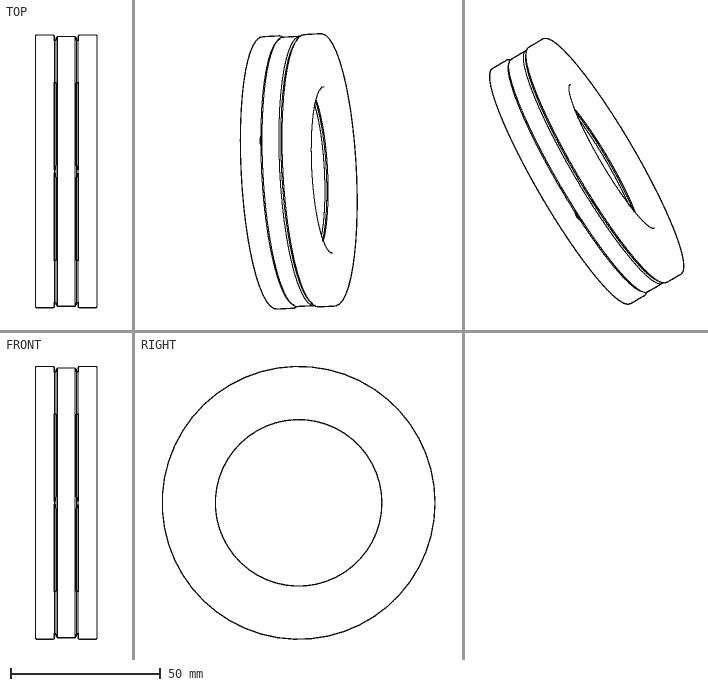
import cadquery as cq

total_width = 20.6
outer_diameter = 91.3
bore_diameter = 55.6
washer_edge = 0.5

roller_diameter = 7.9
roller_length = 14.4
roller_edge = 0.5
roller_count = 4

cage_width = 6.85
cage_outer_diameter = 90.3
cage_bore_diameter = 56.6
cage_edge = 0.55

washer_width = (total_width - roller_diameter) / 2
washer_offset = (roller_diameter + washer_width) / 2
pitch_radius = (outer_diameter + bore_diameter) / 4


def make_ring(outer, bore, width, center_x):
    """Plain ring around the X axis, centred on center_x."""
    return (
        cq.Workplane("YZ", origin=(center_x - width / 2, 0, 0))
        .circle(outer / 2)
        .circle(bore / 2)
        .extrude(width)
    )


def make_washer(side):
    """Washer with rounded edges; side is -1 or 1 along X."""
    washer = make_ring(outer_diameter, bore_diameter, washer_width, side * washer_offset)
    return washer.edges("%CIRCLE").fillet(washer_edge)


def make_roller(angle):
    """Roller with rounded ends, its axis radial, turned about X from the +Z direction."""
    return (
        cq.Workplane("XY", origin=(0, 0, pitch_radius - roller_length / 2))
        .circle(roller_diameter / 2)
        .extrude(roller_length)
        .faces("<Z or >Z")
        .edges()
        .fillet(roller_edge)
        .rotate((0, 0, 0), (1, 0, 0), angle)
    )


def make_cage(rollers):
    """Cage ring with chamfered edges and a matching pocket for each roller."""
    cage = make_ring(cage_outer_diameter, cage_bore_diameter, cage_width, 0)
    cage = cage.edges("%CIRCLE").chamfer(cage_edge)
    for roller in rollers:
        cage = cage.cut(roller)
    return cage


washers = [make_washer(side) for side in (-1, 1)]
rollers = [make_roller(index * 360 / roller_count) for index in range(roller_count)]
cage = make_cage(rollers)

result = cq.Compound.makeCompound(
    [
        *[washer.val() for washer in washers],
        *[roller.val() for roller in rollers],
        *cage.vals(),
    ]
)